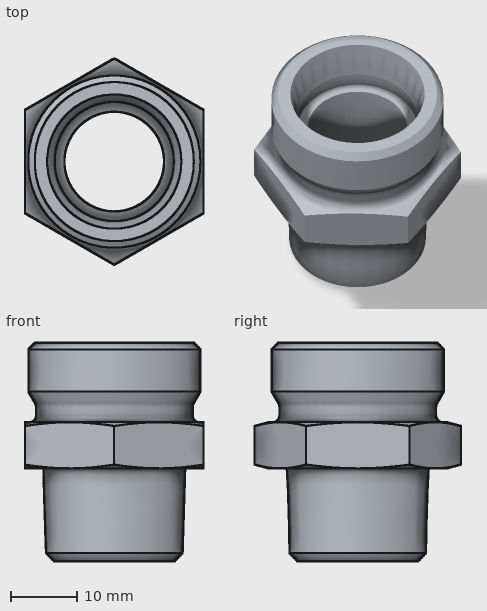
import cadquery as cq
import math

total_height = 33.0
hex_bottom = 14.02
hex_top = 21.02
collar_bottom = 25.65

across_flats = 27.0
across_corners = across_flats / math.cos(math.pi / 6)
hex_chamfer_angle = math.radians(15)
hex_face_radius = 13.4

tip_radius = 9.08
tip_height = 1.3
taper_bottom_radius = 10.33
diameter_taper = 1 / 16
taper_top_radius = taper_bottom_radius + (hex_bottom - tip_height) * diameter_taper / 2

collar_radius = 26.0 / 2
collar_chamfer = 1.0
neck_radius = 23.7 / 2
neck_fillet = 0.92
shoulder_angle = math.radians(30)
neck_top = collar_bottom - (collar_radius - neck_radius) / math.tan(shoulder_angle)

through_radius = 15.0 / 2
socket_radius = 18.0 / 2
mouth_radius = 10.13
mouth_depth = 5.35
socket_depth = 7.6


def make_body():
    """Revolved outside: tapered end, neck and chamfered collar."""
    fillet_mid = neck_fillet * (1 - math.sqrt(0.5))
    blend_length = neck_fillet * math.tan(shoulder_angle / 2)
    blend_start = neck_top - blend_length
    blend_center_radius = neck_radius + neck_fillet

    def blend_point(angle):
        return (
            blend_center_radius - neck_fillet * math.cos(angle),
            blend_start + neck_fillet * math.sin(angle),
        )

    return (
        cq.Workplane("XZ")
        .lineTo(tip_radius, 0)
        .lineTo(taper_bottom_radius, tip_height)
        .lineTo(taper_top_radius, hex_bottom)
        .lineTo(neck_radius + neck_fillet, hex_top)
        .threePointArc(
            (neck_radius + fillet_mid, hex_top + fillet_mid),
            (neck_radius, hex_top + neck_fillet),
        )
        .lineTo(neck_radius, blend_start)
        .threePointArc(blend_point(shoulder_angle / 2), blend_point(shoulder_angle))
        .lineTo(collar_radius, collar_bottom)
        .lineTo(collar_radius, total_height - collar_chamfer)
        .lineTo(collar_radius - collar_chamfer, total_height)
        .lineTo(0, total_height)
        .close()
        .revolve(360, (0, 0), (0, 1))
    )


def make_hexagon():
    """Hexagon with corners on Y, its corners turned down on both faces."""
    prism = (
        cq.Workplane("XY", origin=(0, 0, hex_bottom))
        .polygon(6, across_corners)
        .extrude(hex_top - hex_bottom)
        .rotate((0, 0, 0), (0, 0, 1), 90)
    )
    corner_radius = across_corners / 2
    corner_drop = (corner_radius - hex_face_radius) * math.tan(hex_chamfer_angle)
    turned = (
        cq.Workplane("XZ")
        .moveTo(0, hex_bottom)
        .lineTo(hex_face_radius, hex_bottom)
        .lineTo(corner_radius, hex_bottom + corner_drop)
        .lineTo(corner_radius, hex_top - corner_drop)
        .lineTo(hex_face_radius, hex_top)
        .lineTo(0, hex_top)
        .close()
        .revolve(360, (0, 0), (0, 1))
    )
    return prism.intersect(turned)


def make_bore():
    """Through bore, stepped socket and conical mouth at the top."""
    socket_floor = total_height - socket_depth
    return (
        cq.Workplane("XZ")
        .lineTo(through_radius, 0)
        .lineTo(through_radius, socket_floor)
        .lineTo(socket_radius, socket_floor)
        .lineTo(socket_radius, total_height - mouth_depth)
        .lineTo(mouth_radius, total_height)
        .lineTo(0, total_height)
        .close()
        .revolve(360, (0, 0), (0, 1))
    )


result = make_body().union(make_hexagon()).cut(make_bore())